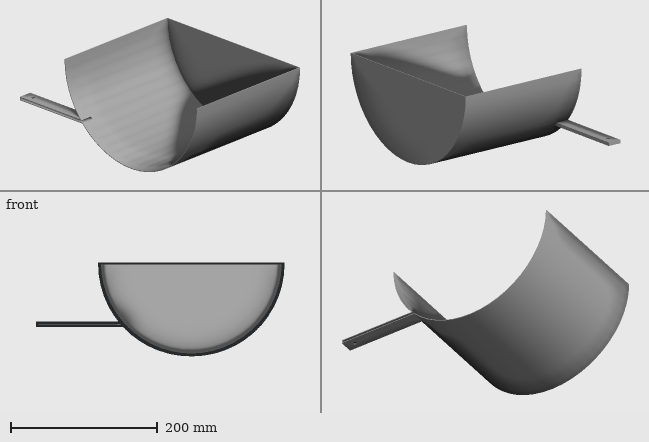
import cadquery as cq
import math

overall_length = 336.3
overall_height = 125.5
outer_radius = 125.8
wall = 1.0
depth = 202.0
axis_z = outer_radius - overall_height
rim_half_width = math.sqrt(outer_radius**2 - axis_z**2)

arm_width = 20.2
arm_height = 5.0
arm_wall = 1.0
arm_center_z = -83.0
arm_end_x = rim_half_width - overall_length
hole_diameter = 5.0
hole_from_end = 15.0


def round_bottom(radius, length):
    """Solid below the rim with a circular underside, from Y = 0 to Y = length."""
    half_width = math.sqrt(radius**2 - axis_z**2)
    return (
        cq.Workplane("XZ")
        .moveTo(-half_width, 0)
        .threePointArc((0, axis_z - radius), (half_width, 0))
        .close()
        .extrude(-length)
    )


def arm_block(start_x, width, height):
    """Block from start_x to the middle of the trough, front face at Y = 0."""
    block = cq.Workplane("XY").box(-start_x, width, height, centered=(False, False, True))
    return block.translate((start_x, 0, arm_center_z))


def screw_hole():
    """Vertical cutter through both flanges near the free end of the arm."""
    return (
        cq.Workplane("XY", origin=(arm_end_x + hole_from_end, arm_width / 2, arm_center_z))
        .circle(hole_diameter / 2)
        .extrude(arm_height, both=True)
    )


trough_body = round_bottom(outer_radius, depth)
trough_cavity = round_bottom(outer_radius - wall, depth - wall)
arm_body = arm_block(arm_end_x, arm_width, arm_height)
arm_channel = arm_block(arm_end_x + arm_wall, arm_width - arm_wall, arm_height - 2 * arm_wall)

result = trough_body.union(arm_body).cut(trough_cavity).cut(arm_channel).cut(screw_hole())